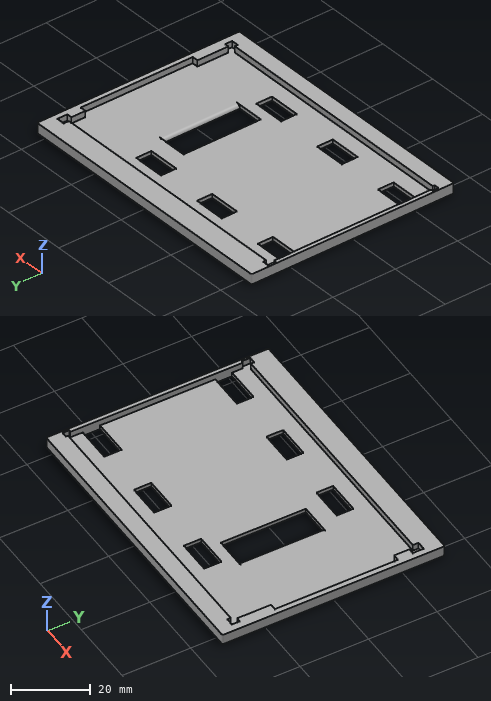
import cadquery as cq

LENGTH = 86.2
WIDTH = 65.0
HEIGHT = 3.2
CORNER_RADIUS = 0.5

FLOOR = 1.3
POCKET_LEFT = -41.8
POCKET_RIGHT = 41.5
PAD_FACE = 39.6
POCKET_BACK = 25.8
POCKET_FRONT = -27.4
RECESS_BACK = 19.7
RECESS_FRONT = -16.2

LEFT_RELIEF_EDGE = -42.4
RIGHT_RELIEF_START = 38.6
BACK_RELIEF_EDGE = 24.2
FRONT_RELIEF_EDGE = -26.1
CORNER_RELIEFS = [
    (LEFT_RELIEF_EDGE, -40.5, BACK_RELIEF_EDGE, 26.7),
    (LEFT_RELIEF_EDGE, -40.9, -28.0, FRONT_RELIEF_EDGE),
    (RIGHT_RELIEF_START, 41.2, BACK_RELIEF_EDGE, 27.4),
    (RIGHT_RELIEF_START, 40.9, -28.4, FRONT_RELIEF_EDGE),
]

SLOT_LENGTH = 9.9
SLOT_PITCH = 24.4
FIRST_SLOT_RIGHT = -31.3
SLOT_COLUMNS = 3
SLOT_ROWS = [(16.2, 21.0), (-22.5, -17.5)]

WINDOW_LEFT = 11.4
WINDOW_RIGHT = 19.7
WINDOW_FRONT = -14.0
WINDOW_BACK = 10.8
WINDOW_ROUND = 1.2


def block(left, right, front, back, bottom, top):
    """Box given by its limits along each axis."""
    size = (right - left, back - front, top - bottom)
    return cq.Workplane("XY").box(*size, centered=False).translate((left, front, bottom))


def pocket():
    """Recess with a stepped right wall and relieved corners."""
    cut = block(POCKET_LEFT, PAD_FACE, POCKET_FRONT, POCKET_BACK, FLOOR, HEIGHT)
    cut = cut.union(block(POCKET_LEFT, POCKET_RIGHT, RECESS_FRONT, RECESS_BACK, FLOOR, HEIGHT))
    for limits in CORNER_RELIEFS:
        cut = cut.union(block(*limits, FLOOR, HEIGHT))
    return cut


def cut_slots(body):
    """Cut the rows of rectangular slots through the floor."""
    for column in range(SLOT_COLUMNS):
        right = FIRST_SLOT_RIGHT + column * SLOT_PITCH
        left = POCKET_LEFT if column == 0 else right - SLOT_LENGTH
        for front, back in SLOT_ROWS:
            body = body.cut(block(left, right, front, back, 0, FLOOR))
    return body


def window():
    """Window opening that flares in an arc towards the floor's upper face."""
    arc_start = FLOOR - WINDOW_ROUND
    flare_right = WINDOW_RIGHT + WINDOW_ROUND
    profile = (
        cq.Workplane("XZ", origin=(0, WINDOW_BACK, 0))
        .moveTo(WINDOW_LEFT, 0)
        .lineTo(WINDOW_RIGHT, 0)
        .lineTo(WINDOW_RIGHT, arc_start)
        .radiusArc((flare_right, FLOOR), WINDOW_ROUND)
        .lineTo(WINDOW_LEFT, FLOOR)
        .close()
    )
    return profile.extrude(WINDOW_BACK - WINDOW_FRONT)


plate = cq.Workplane("XY").box(LENGTH, WIDTH, HEIGHT, centered=(True, True, False))
plate = plate.edges("|Z").fillet(CORNER_RADIUS)
result = cut_slots(plate.cut(pocket())).cut(window())